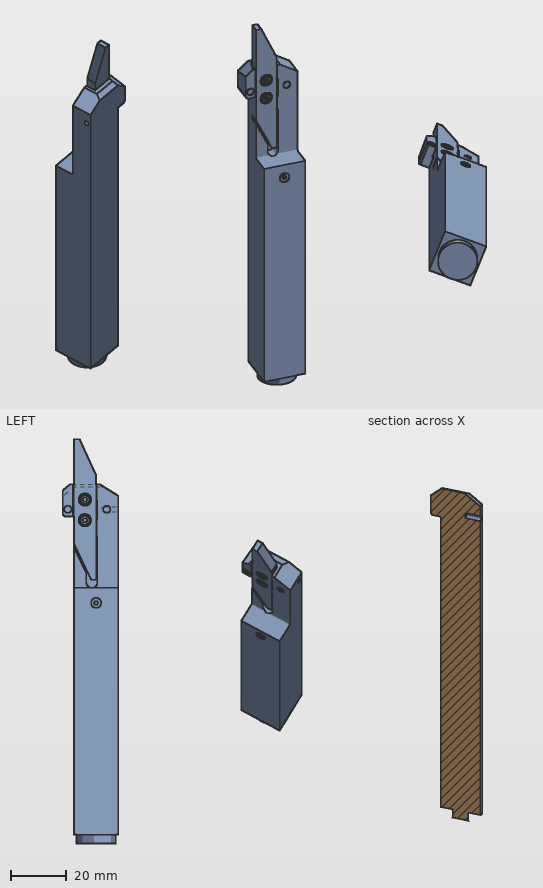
import cadquery as cq
import math


overall_height = 144.87
shank_size = 15.88
half = shank_size / 2
ledge_height = 88.37
head_face_x = -0.2
ledge_fillet = 0.8
head_height = 125.5
front_slope_start_y = -1.3
front_slope_bottom = 121.35
edge_bevel_width = 2.4
edge_bevel_drop = 0.87

boss_diameter = 14.1
boss_length = 3.2

tab_reach = 4.0
tab_bottom = 113.9
tab_chamfer = 0.7
tab_slope_start_y = 9.25
tab_slope_x = 0.25
tab_slope_y = 0.84

blade_top = overall_height - boss_length
blade_inset = 0.2
blade_face_x = head_face_x + blade_inset
blade_tip_width = 2.05
blade_shoulder_height = 128.8
blade_heel_bottom = 91.2
blade_heel_width = 1.7
blade_heel_fillet = 0.6
blade_heel_top = 104.2

pocket_depth = 4.0
pocket_floor_x = head_face_x + pocket_depth
pocket_rear_y = 8.35
channel_radius = 2.0
channel_center_y = 1.5
channel_center_z = ledge_height + channel_radius
channel_top = 93.6
heel_slope = (blade_heel_top - blade_heel_bottom) / (half - blade_heel_width)
pad_clearance = 0.15
pad_spans = ((106.9, 112.7), (119.6, head_height))

blade_screw_y = 4.0
blade_screw_heights = (112.6, 120.0)
counterbore_diameter = 4.5
counterbore_depth = 2.6
screw_head_diameter = 3.8
screw_head_length = 2.4
screw_head_chamfer = 0.3
blade_socket_width = 1.5
blade_socket_depth = 1.0

set_screw_height = 83.0
set_screw_diameter = 3.6
set_screw_recess = 0.3
set_socket_width = 1.3
set_socket_depth = 1.2

pin_height = 116.5
pin_ys = (-3.85, 10.1)
pin_hole_diameter = 2.6
pin_hole_depth = 0.4

side_hole_x = 6.2
side_hole_diameter = 1.8
side_hole_depth = 6.0

slope_cut_height = 5.0


def block(x_span, y_span, z_span):
    """Box between the given limits along each axis."""
    size = [span[1] - span[0] for span in (x_span, y_span, z_span)]
    corner = (x_span[0], y_span[0], z_span[0])
    return cq.Workplane("XY").box(*size, centered=False).translate(corner)


def rod(x, y, z, diameter, length):
    """Cylinder starting at the given point and running toward +X."""
    return cq.Workplane("YZ", origin=(x, y, z)).circle(diameter / 2).extrude(length)


def hex_rod(x, y, z, width_across_flats, length):
    """Hexagonal prism starting at the given point and running toward +X."""
    across_corners = width_across_flats / math.cos(math.pi / 6)
    return cq.Workplane("YZ", origin=(x, y, z)).polygon(6, across_corners).extrude(length)


def make_shank():
    profile = [
        (-half, 0),
        (half, 0),
        (half, head_height - edge_bevel_drop),
        (half - edge_bevel_width, head_height),
        (head_face_x, head_height),
        (head_face_x, ledge_height),
        (-half, ledge_height),
    ]
    shank = cq.Workplane("XZ", origin=(0, half, 0)).polyline(profile).close().extrude(shank_size)
    inner_corner = cq.selectors.NearestToPointSelector((head_face_x, 0, ledge_height))
    shank = shank.edges("|Y").edges(inner_corner).fillet(ledge_fillet)
    boss = cq.Workplane("XY").circle(boss_diameter / 2).extrude(-boss_length)
    return shank.union(boss)


def make_tab():
    """Rear tab, overlapping the head and bevelled along the same top edge."""
    tab = block((head_face_x, half), (half, half + tab_reach), (tab_bottom, head_height))
    tab = tab.edges("|X and >Y and <Z").chamfer(tab_chamfer)
    bevel_profile = [
        (half, head_height - edge_bevel_drop),
        (half - edge_bevel_width, head_height),
        (half, head_height),
    ]
    bevel = cq.Workplane("XZ", origin=(0, half, 0)).polyline(bevel_profile).close()
    return tab.cut(bevel.extrude(-tab_reach))


def tab_slope_cut():
    """Material above the tilted plane on top of the tab."""
    plane = cq.Plane(
        origin=(0, tab_slope_start_y, head_height),
        xDir=(1, 0, -tab_slope_x),
        normal=(tab_slope_x, tab_slope_y, 1),
    )
    side = 4 * half
    return cq.Workplane(plane).rect(side, side).extrude(slope_cut_height)


def front_slope_cut():
    outline = [
        (front_slope_start_y, head_height),
        (-half, front_slope_bottom),
        (-half, head_height),
    ]
    return cq.Workplane("YZ", origin=(head_face_x, 0, 0)).polyline(outline).close().extrude(shank_size)


def make_pocket():
    front_y = channel_center_y - channel_radius
    channel_rear_y = channel_center_y + channel_radius
    rear_bottom = channel_top + heel_slope * (pocket_rear_y - channel_rear_y)
    pocket = (
        cq.Workplane("YZ", origin=(head_face_x - ledge_fillet, 0, 0))
        .moveTo(front_y, head_height)
        .lineTo(front_y, channel_center_z)
        .threePointArc(
            (channel_center_y, channel_center_z - channel_radius),
            (channel_rear_y, channel_center_z),
        )
        .lineTo(channel_rear_y, channel_top)
        .lineTo(pocket_rear_y, rear_bottom)
        .lineTo(pocket_rear_y, head_height)
        .close()
        .extrude(ledge_fillet + pocket_depth)
    )
    for span in pad_spans:
        pad = block((head_face_x, pocket_floor_x), (front_y, -pad_clearance), span)
        pocket = pocket.cut(pad)
    return pocket


def make_blade():
    outline = [
        (half, blade_top),
        (half - blade_tip_width, blade_top),
        (0, blade_shoulder_height),
        (0, blade_heel_bottom),
        (blade_heel_width, blade_heel_bottom),
        (half, blade_heel_top),
    ]
    sketch = cq.Workplane("YZ", origin=(blade_face_x, 0, 0)).polyline(outline).close()
    blade = sketch.extrude(pocket_depth - blade_inset)
    heel = cq.selectors.NearestToPointSelector((pocket_floor_x / 2, blade_heel_width, blade_heel_bottom))
    return blade.edges("|X").edges(heel).fillet(blade_heel_fillet)


def add_blade_screws(body):
    bottom_x = blade_face_x + counterbore_depth
    head_x = bottom_x - screw_head_length
    for z in blade_screw_heights:
        bore = rod(blade_face_x, blade_screw_y, z, counterbore_diameter, counterbore_depth)
        head = rod(head_x, blade_screw_y, z, screw_head_diameter, screw_head_length)
        head = head.faces("<X").edges().chamfer(screw_head_chamfer)
        socket = hex_rod(head_x, blade_screw_y, z, blade_socket_width, blade_socket_depth)
        body = body.cut(bore).union(head.cut(socket))
    return body


def cut_set_screw(body):
    recess = rod(-half, 0, set_screw_height, set_screw_diameter, set_screw_recess)
    socket = hex_rod(-half, 0, set_screw_height, set_socket_width, set_screw_recess + set_socket_depth)
    return body.cut(recess).cut(socket)


def cut_pin_holes(body):
    for y in pin_ys:
        body = body.cut(rod(head_face_x, y, pin_height, pin_hole_diameter, pin_hole_depth))
    return body


def side_hole():
    start = cq.Workplane("XZ", origin=(side_hole_x, -half, pin_height))
    return start.circle(side_hole_diameter / 2).extrude(-side_hole_depth)


result = make_shank().union(make_tab())
result = result.cut(tab_slope_cut()).cut(front_slope_cut()).cut(make_pocket())
result = result.cut(side_hole()).union(make_blade())
result = add_blade_screws(result)
result = cut_set_screw(result)
result = cut_pin_holes(result)